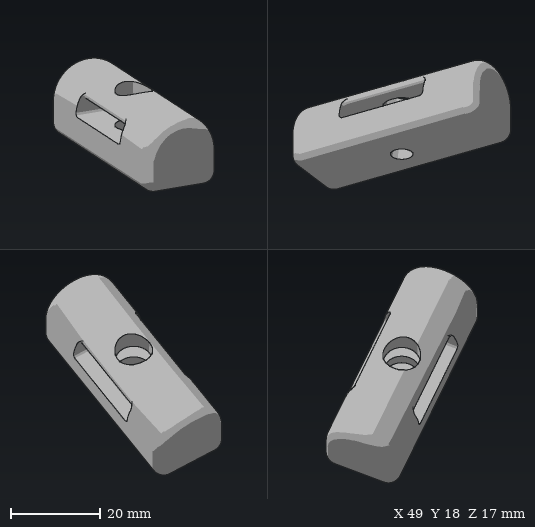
import cadquery as cq
import math

LENGTH = 49.0
WIDTH = 18.0
HEIGHT = 17.0
CROWN_RADIUS = WIDTH / 2
CROWN_CENTER_Z = HEIGHT - CROWN_RADIUS
EDGE_RADIUS = 3.0

SLOT_LENGTH = 22.0
SLOT_HEIGHT = 4.0
SLOT_FLOOR_Z = CROWN_CENTER_Z
SLOT_CEILING_Z = SLOT_FLOOR_Z + SLOT_HEIGHT
SLOT_RADIUS = 1.0

SCREW_DIAMETER = 5.0
HEAD_DIAMETER = 8.5
HEAD_SEAT_Z = 5.0

CLEARANCE = 2.45


def make_body():
    """Half-round bar with its end and bottom edges rounded."""
    profile = (
        cq.Workplane("YZ", origin=(-LENGTH / 2, 0, 0))
        .moveTo(-CROWN_RADIUS, 0)
        .lineTo(CROWN_RADIUS, 0)
        .lineTo(CROWN_RADIUS, CROWN_CENTER_Z)
        .threePointArc((0, HEIGHT), (-CROWN_RADIUS, CROWN_CENTER_Z))
        .close()
    )
    return profile.extrude(LENGTH).edges("<X or >X or <Z").fillet(EDGE_RADIUS)


def make_slot():
    """Slot cutter with ceiling lips rounded tangent to the crown."""
    lip_z = SLOT_CEILING_Z + SLOT_RADIUS
    rise = lip_z - CROWN_CENTER_Z
    center_distance = CROWN_RADIUS - SLOT_RADIUS
    lip_y = math.sqrt(center_distance**2 - rise**2)
    tangent_angle = math.atan2(rise, lip_y)
    middle_angle = (tangent_angle - math.pi / 2) / 2

    def lip_point(angle, side):
        y = lip_y + SLOT_RADIUS * math.cos(angle)
        z = lip_z + SLOT_RADIUS * math.sin(angle)
        return (side * y, z)

    tangent_y, tangent_z = lip_point(tangent_angle, 1)
    outer_y = tangent_y - CLEARANCE * math.sin(tangent_angle)
    outer_z = tangent_z + CLEARANCE * math.cos(tangent_angle)
    side_y = CROWN_RADIUS + CLEARANCE

    cutter = (
        cq.Workplane("YZ", origin=(-SLOT_LENGTH / 2, 0, 0))
        .moveTo(-side_y, SLOT_FLOOR_Z)
        .lineTo(side_y, SLOT_FLOOR_Z)
        .lineTo(side_y, outer_z)
        .lineTo(outer_y, outer_z)
        .lineTo(tangent_y, tangent_z)
        .threePointArc(lip_point(middle_angle, 1), (lip_y, SLOT_CEILING_Z))
        .lineTo(-lip_y, SLOT_CEILING_Z)
        .threePointArc(lip_point(middle_angle, -1), (-tangent_y, tangent_z))
        .lineTo(-outer_y, outer_z)
        .lineTo(-side_y, outer_z)
        .close()
        .extrude(SLOT_LENGTH)
    )
    inner_width = 2 * tangent_y + SLOT_RADIUS
    inner_edges = cq.selectors.BoxSelector(
        (-LENGTH, -inner_width / 2, 0), (LENGTH, inner_width / 2, outer_z - SLOT_RADIUS / 2)
    )
    return cutter.edges("<X or >X").edges(inner_edges).fillet(SLOT_RADIUS)


def make_screw_hole():
    """Through hole with a wider bore from the top down to the head seat."""
    shank = cq.Workplane("XY").circle(SCREW_DIAMETER / 2).extrude(HEIGHT)
    head = (
        cq.Workplane("XY", origin=(0, 0, HEAD_SEAT_Z))
        .circle(HEAD_DIAMETER / 2)
        .extrude(HEIGHT - HEAD_SEAT_Z)
    )
    return shank.union(head)


result = make_body().cut(make_slot()).cut(make_screw_hole())